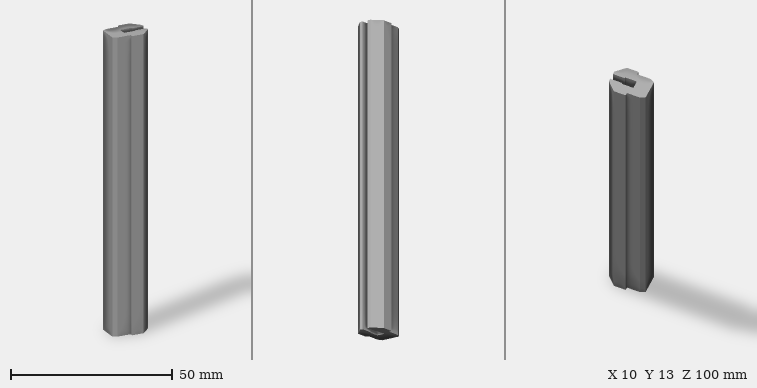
import cadquery as cq

length = 100.0
width = 10.0
depth = 13.0

head_depth = 7.0
tip_width = 4.0
shoulder_depth = 3.0

body_width = 8.0
bevel_width = 0.75
bevel_depth = 1.5

mouth_width = 2.0
mouth_depth = 4.1
pocket_width = 2.7
slot_depth = 8.0

back = depth / 2
front = -depth / 2


def slot_section(section_width, start_depth, end_depth):
    """Cutter for a slot section between two depths below the back face."""
    section_depth = end_depth - start_depth
    return (
        cq.Workplane("XY")
        .center(0, back - start_depth - section_depth / 2)
        .rect(section_width, section_depth)
        .extrude(length)
    )


def solid_bar():
    """Head and bevelled body without the slot."""
    right_side = [
        (body_width / 2 - bevel_width, front),
        (body_width / 2, front + bevel_depth),
        (body_width / 2, back - head_depth),
        (width / 2, back - head_depth),
        (width / 2, back - shoulder_depth),
        (tip_width / 2, back),
    ]
    left_side = [(-x, y) for x, y in reversed(right_side)]
    return cq.Workplane("XY").polyline(right_side + left_side).close().extrude(length)


mouth = slot_section(mouth_width, 0, mouth_depth)
pocket = slot_section(pocket_width, mouth_depth, slot_depth)
result = solid_bar().cut(mouth).cut(pocket)